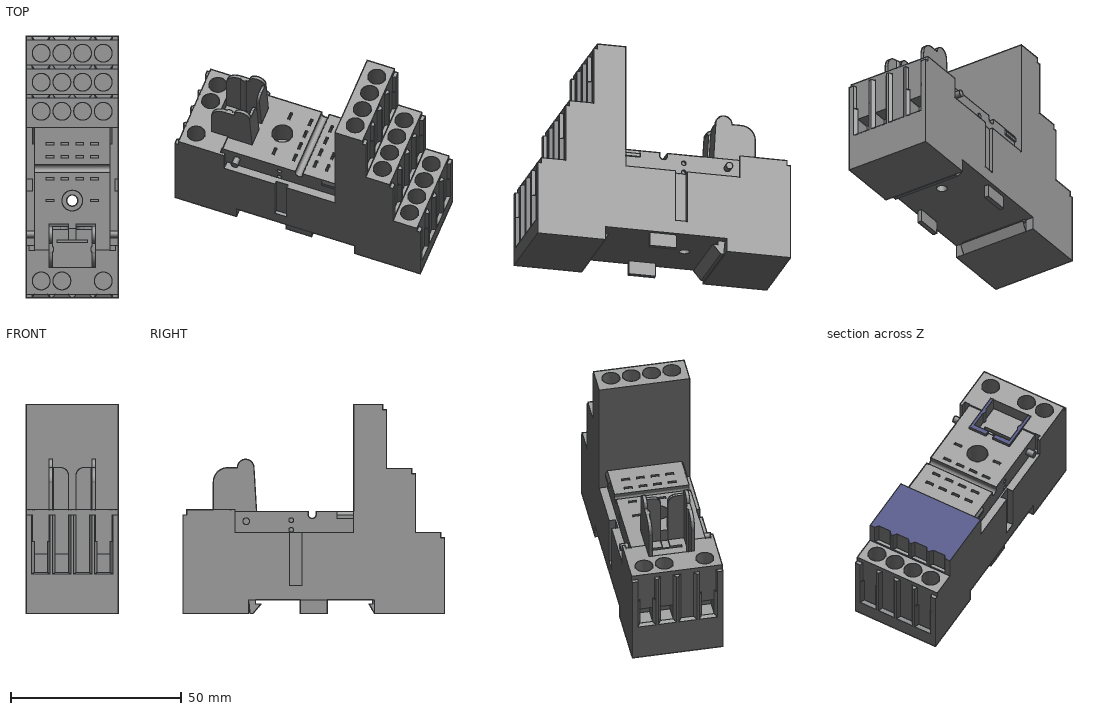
import cadquery as cq

WIDTH = 27.2
LENGTH = 77.0
HEIGHT = 61.5
SIDE = WIDTH / 2
FRONT = -LENGTH / 2
REAR = LENGTH / 2

POLES = 4

TIER_PITCH = 8.55
TIER_TOPS = [23.9, 42.7, HEIGHT]
TOWER_FRONT = 11.7
BLOCK_TOP = 30.6
BLOCK_REAR = -23.1
LIP_DEPTH = 1.1
LIP_HEIGHT = 1.55
TIER_REARS = [REAR - i * TIER_PITCH for i in range(len(TIER_TOPS))]

LEDGE_Z = TIER_TOPS[0]
BED_TOP = 30.1
BED_WIDTH = 22.3
BED_SIDE = BED_WIDTH / 2
BED_FRONT = -24.4
BED_GROOVE_Y = -0.5
BED_GROOVE_WIDTH = 2.3
BED_GROOVE_DEPTH = 2.1
WING_LENGTH = 4.9
WING_REACH = 0.55
WING_SLOPE_HEIGHT = 1.15
WING_HEIGHT = 2.1

BLADE_WIDTH = 2.3
BLADE_THICKNESS = 0.7
BLADE_DEPTH = 3.85
BLADE_PITCH = 4.4
BLADE_FULL_ROWS = [6.85, 3.0, -3.5]
COIL_ROW = -9.85

MOUNT_Y = COIL_ROW
MOUNT_DIAMETER = 3.2
MOUNT_HEAD_DIAMETER = 6.1
MOUNT_HEAD_DEPTH = 7.7

SLOT_FRONT = -7.1
SLOT_REAR = -3.5
SLOT_BOTTOM = 8.25
SLOT_DEPTH_LEFT = 1.85
SLOT_DEPTH_RIGHT = 1.1
PIN_Y = -19.9
PIN_Z = 27.2
PIN_DIAMETER = 2.0
DIMPLE_Y = -6.6
DIMPLE_HEIGHTS = [27.5, 24.65]
DIMPLE_DIAMETER = 1.4
DIMPLE_DEPTH = 0.8
NOTCH_WALL = 0.85
NOTCH_LENGTH = 1.5
NOTCH_FLOOR_DROP = 0.4

POLE_PITCH = 6.15
POLE_XS = [(i - (POLES - 1) / 2) * POLE_PITCH for i in range(POLES)]
SCREW_PITCH = 6.1
SCREW_XS = [(i - (POLES - 1) / 2) * SCREW_PITCH for i in range(POLES)]
SCREW_DIAMETER = 5.2
SCREW_DEPTH = 9.25
SCREW_INSET = 5.0
FRONT_POLES = [0, 1, 3]
GROOVE_MOUTH = 5.5
GROOVE_BACK = 3.85
GROOVE_BACK_UPPER = 4.85
GROOVE_HEIGHT = 17.4
GROOVE_FLOOR_RISE = 0.55
GROOVE_UPPER_HEIGHT = 7.85
ENTRY_HEIGHT = 5.4
ENTRY_DEPTH = 4.6

RAIL_FRONT = -19.2
RAIL_REAR = 17.9
RAIL_HEIGHT = 4.1
FOOT_LENGTH = 8.0
FOOT_WIDTH = 1.3
FOOT_INSET = 1.1
HOOK_INSET = 2.55
HOOK_WIDTH = WIDTH - 2 * HOOK_INSET
HOOK_TIP_Z = 2.85
REAR_HOOK_REACH = 1.6
REAR_HOOK_NECK = 0.55
FRONT_HOOK_REACH = 3.7
FRONT_HOOK_NECK = 2.1
FRONT_HOOK_BOTTOM_START = 0.4
FRONT_HOOK_BOTTOM_END = 1.3

CLIP_OUTER = 6.85
CLIP_THICKNESS = 1.0
CLIP_INNER = CLIP_OUTER - CLIP_THICKNESS
CLIP_FRONT = -29.6
CLIP_REAR = -16.8
CLIP_REAR_TOP = -17.55
CLIP_SHOULDER_Z = 43.0
CLIP_FRONT_RADIUS = 4.3
CLIP_TIP_Y = -20.0
CLIP_TIP_RADIUS = 2.5
FLANGE_FRONT = -18.4
FLANGE_GAP = 2.2
FLANGE_RADIUS = 2.3
RIB_Y = -24.2
RIB_WIDTH = 1.85
RIB_HEIGHT = 0.4
SEAT_DEPTH = 3.6
SEAT_FLOOR = BED_TOP - SEAT_DEPTH
SEAT_REAR = -18.1
CHANNEL_DEPTH = 0.4
CROSS_SLOT_REAR = -21.4
CROSS_SLOT_WIDTH = 9.1
CROSS_SLOT_THICKNESS = 0.85
CROSS_SLOT_DEPTH = 2.3


def box(x0, x1, y0, y1, z0, z1):
    """Axis-aligned block between two opposite corners."""
    return cq.Workplane("XY").box(x1 - x0, y1 - y0, z1 - z0, centered=False).translate((x0, y0, z0))


def across(x0, x1, outline):
    """Extrude a closed (y, z) outline from x0 to x1."""
    return cq.Workplane("YZ").polyline(outline).close().extrude(x1 - x0).translate((x0, 0, 0))


def bore(x, y, top, diameter, depth):
    """Vertical cylinder going down from the given height."""
    return cq.Workplane("XY", origin=(x, y, top - depth)).circle(diameter / 2).extrude(depth)


def mirrored(shape):
    """A feature together with its mirror image on the other side."""
    return shape.union(shape.mirror("YZ"))


def side_profile():
    """Stepped body outline, with a small lip along every terminal edge."""
    points = [(FRONT, 0), (REAR, 0)]
    for rear, top in zip(TIER_REARS, TIER_TOPS):
        points += [
            (rear, top - LIP_HEIGHT),
            (rear - LIP_DEPTH, top - LIP_HEIGHT),
            (rear - LIP_DEPTH, top),
            (rear - TIER_PITCH, top),
        ]
    points[-1] = (TOWER_FRONT, HEIGHT)
    points += [
        (TOWER_FRONT, LEDGE_Z),
        (BLOCK_REAR, LEDGE_Z),
        (BLOCK_REAR, BLOCK_TOP),
        (FRONT + LIP_DEPTH, BLOCK_TOP),
        (FRONT + LIP_DEPTH, BLOCK_TOP - LIP_HEIGHT),
        (FRONT, BLOCK_TOP - LIP_HEIGHT),
    ]
    return points


def relay_bed():
    """Raised bed with a rounded cross groove and a sloped wing at each rear corner."""
    bed = box(-BED_SIDE, BED_SIDE, BLOCK_REAR, TOWER_FRONT, LEDGE_Z, BED_TOP)
    radius = BED_GROOVE_WIDTH / 2
    groove_center = BED_TOP - BED_GROOVE_DEPTH + radius
    groove = box(-BED_SIDE, BED_SIDE, BED_GROOVE_Y - radius, BED_GROOVE_Y + radius, groove_center, BED_TOP)
    groove = groove.union(
        cq.Workplane("YZ", origin=(-BED_SIDE, BED_GROOVE_Y, groove_center)).circle(radius).extrude(BED_WIDTH)
    )
    wing_edge = BED_SIDE + WING_REACH
    wing = (
        cq.Workplane("XZ", origin=(0, TOWER_FRONT, 0))
        .moveTo(BED_SIDE, BED_TOP)
        .lineTo(wing_edge, BED_TOP - WING_SLOPE_HEIGHT)
        .lineTo(wing_edge, BED_TOP - WING_HEIGHT)
        .lineTo(BED_SIDE, BED_TOP - WING_HEIGHT)
        .close()
        .extrude(WING_LENGTH)
    )
    return bed.cut(groove).union(mirrored(wing))


def wire_groove(x, face_y, inward, floor, top, back_width, floor_rise=0.0):
    """Open-topped groove in an end face: it narrows inward and its floor may rise inward."""
    back_y = face_y + inward * LIP_DEPTH
    plan = [
        (x - GROOVE_MOUTH / 2, face_y),
        (x + GROOVE_MOUTH / 2, face_y),
        (x + back_width / 2, back_y),
        (x - back_width / 2, back_y),
    ]
    prism = cq.Workplane("XY", origin=(0, 0, floor)).polyline(plan).close().extrude(top - floor)
    if floor_rise:
        ramp = [(face_y, floor), (back_y, floor), (back_y, floor + floor_rise)]
        prism = prism.cut(across(-SIDE, SIDE, ramp))
    return prism


def end_grooves(body, face_y, inward, floor, top, floor_rise):
    """Row of four wire grooves in an end face; the outer pair widens near the top."""
    for x in POLE_XS:
        body = body.cut(wire_groove(x, face_y, inward, floor, top, GROOVE_BACK, floor_rise))
    for x in (POLE_XS[0], POLE_XS[-1]):
        body = body.cut(wire_groove(x, face_y, inward, top - GROOVE_UPPER_HEIGHT, top, GROOVE_BACK_UPPER))
    return body


def terminals(body):
    """Wire grooves, wire entries and screw holes."""
    front_top = BLOCK_TOP - LIP_HEIGHT
    front_floor = front_top - GROOVE_HEIGHT
    body = end_grooves(body, FRONT, 1, front_floor, front_top, GROOVE_FLOOR_RISE)

    rear_top = TIER_TOPS[0] - LIP_HEIGHT
    body = end_grooves(body, REAR, -1, rear_top - GROOVE_HEIGHT, rear_top, GROOVE_FLOOR_RISE)

    for rear, lower_top, top in zip(TIER_REARS[1:], TIER_TOPS, TIER_TOPS[1:]):
        body = end_grooves(body, rear, -1, lower_top + GROOVE_FLOOR_RISE, top - LIP_HEIGHT, 0)

    entry_floor = front_floor + GROOVE_FLOOR_RISE
    entry_top = entry_floor + ENTRY_HEIGHT
    entry_front = FRONT + LIP_DEPTH
    entry_rear = entry_front + ENTRY_DEPTH
    half = GROOVE_BACK / 2
    for pole in FRONT_POLES:
        x = POLE_XS[pole]
        body = body.cut(box(x - half, x + half, entry_front, entry_rear, entry_floor, entry_top))
        body = body.cut(bore(SCREW_XS[pole], FRONT + SCREW_INSET, BLOCK_TOP, SCREW_DIAMETER, SCREW_DEPTH))
    for rear, top in zip(TIER_REARS, TIER_TOPS):
        for x in SCREW_XS:
            body = body.cut(bore(x, rear - SCREW_INSET, top, SCREW_DIAMETER, SCREW_DEPTH))
    return body


def blade_slots(body):
    """Narrow contact slots: full rows of four, and an outer pair beside the mounting hole."""
    columns = [(i - (POLES - 1) / 2) * BLADE_PITCH for i in range(POLES)]
    places = [(x, y) for y in BLADE_FULL_ROWS for x in columns]
    places += [(columns[0], COIL_ROW), (columns[-1], COIL_ROW)]
    slots = (
        cq.Workplane("XY", origin=(0, 0, BED_TOP - BLADE_DEPTH))
        .pushPoints(places)
        .rect(BLADE_WIDTH, BLADE_THICKNESS)
        .extrude(BLADE_DEPTH)
    )
    return body.cut(slots)


def side_details(body):
    """Side slots, corner notches, dimples in the bed walls and pivot pins over the ledges."""
    body = body.cut(box(-SIDE, -SIDE + SLOT_DEPTH_LEFT, SLOT_FRONT, SLOT_REAR, SLOT_BOTTOM, LEDGE_Z))
    body = body.cut(box(SIDE - SLOT_DEPTH_RIGHT, SIDE, SLOT_FRONT, SLOT_REAR, SLOT_BOTTOM, LEDGE_Z))
    notch_floor = LEDGE_Z - NOTCH_FLOOR_DROP
    notch = box(BED_SIDE, SIDE - NOTCH_WALL, BLOCK_REAR - NOTCH_LENGTH, BLOCK_REAR, notch_floor, BLOCK_TOP)
    body = body.cut(mirrored(notch))
    for z in DIMPLE_HEIGHTS:
        dimple = (
            cq.Workplane("YZ", origin=(BED_SIDE - DIMPLE_DEPTH, DIMPLE_Y, z))
            .circle(DIMPLE_DIAMETER / 2)
            .extrude(DIMPLE_DEPTH)
        )
        body = body.cut(mirrored(dimple))
    pin = (
        cq.Workplane("YZ", origin=(BED_SIDE, PIN_Y, PIN_Z))
        .circle(PIN_DIAMETER / 2)
        .extrude(SIDE - BED_SIDE)
    )
    return body.union(mirrored(pin))


def rail_channel(body):
    """Underside channel with a hook at each end and a pair of side feet in the middle."""
    body = body.cut(box(-SIDE, SIDE, RAIL_FRONT, RAIL_REAR, 0, RAIL_HEIGHT))
    foot_side = SIDE - FOOT_INSET
    foot = box(foot_side - FOOT_WIDTH, foot_side, -FOOT_LENGTH / 2, FOOT_LENGTH / 2, 0, RAIL_HEIGHT)
    rear_hook = [
        (RAIL_REAR, 0),
        (RAIL_REAR - REAR_HOOK_REACH, HOOK_TIP_Z),
        (RAIL_REAR - REAR_HOOK_NECK, HOOK_TIP_Z),
        (RAIL_REAR - REAR_HOOK_NECK, RAIL_HEIGHT),
        (RAIL_REAR, RAIL_HEIGHT),
    ]
    front_hook = [
        (RAIL_FRONT, RAIL_HEIGHT),
        (RAIL_FRONT + FRONT_HOOK_NECK, RAIL_HEIGHT),
        (RAIL_FRONT + FRONT_HOOK_NECK, HOOK_TIP_Z),
        (RAIL_FRONT + FRONT_HOOK_REACH, HOOK_TIP_Z),
        (RAIL_FRONT + FRONT_HOOK_BOTTOM_END, 0),
        (RAIL_FRONT + FRONT_HOOK_BOTTOM_START, 0),
    ]
    body = body.union(mirrored(foot))
    for outline in (rear_hook, front_hook):
        body = body.union(across(-HOOK_WIDTH / 2, HOOK_WIDTH / 2, outline))
    return body


def clip_seat(body):
    """Sunken seat between the clip arms, with a shallow channel and a cross slot in its floor."""
    body = body.cut(box(-BED_SIDE, BED_SIDE, BED_FRONT, BLOCK_REAR, BED_TOP, BLOCK_TOP))
    body = body.cut(box(-CLIP_INNER, CLIP_INNER, CLIP_FRONT, SEAT_REAR, SEAT_FLOOR, BLOCK_TOP))
    half_gap = FLANGE_GAP / 2
    channel_floor = SEAT_FLOOR - CHANNEL_DEPTH
    body = body.cut(box(-half_gap, half_gap, CROSS_SLOT_REAR, SEAT_REAR, channel_floor, SEAT_FLOOR))
    half_slot = CROSS_SLOT_WIDTH / 2
    slot_front = CROSS_SLOT_REAR - CROSS_SLOT_THICKNESS
    slot_floor = SEAT_FLOOR - CROSS_SLOT_DEPTH
    return body.cut(box(-half_slot, half_slot, slot_front, CROSS_SLOT_REAR, slot_floor, SEAT_FLOOR))


def clip_outline(front):
    """(y, z) outline from the seat floor to the shoulder; above the bed its rear edge leans forward."""
    return [
        (front, SEAT_FLOOR),
        (CLIP_REAR, SEAT_FLOOR),
        (CLIP_REAR, BED_TOP),
        (CLIP_REAR_TOP, CLIP_SHOULDER_Z),
        (front, CLIP_SHOULDER_Z),
    ]


def clip_arm():
    """Right-hand clip arm: side plate with a round tip, rear flange and inner rib."""
    plate = across(CLIP_INNER, CLIP_OUTER, clip_outline(CLIP_FRONT))
    plate = plate.edges("|X and >Z and <Y").fillet(CLIP_FRONT_RADIUS)
    tip = (
        cq.Workplane("YZ", origin=(CLIP_INNER, CLIP_TIP_Y, CLIP_SHOULDER_Z))
        .circle(CLIP_TIP_RADIUS)
        .extrude(CLIP_THICKNESS)
    )
    flange = across(FLANGE_GAP / 2, CLIP_INNER, clip_outline(FLANGE_FRONT))
    flange = flange.edges("<X and >Z").fillet(FLANGE_RADIUS)
    rib = (
        cq.Workplane("XY", origin=(0, 0, SEAT_FLOOR))
        .moveTo(CLIP_INNER, RIB_Y - RIB_WIDTH / 2)
        .threePointArc((CLIP_INNER - RIB_HEIGHT, RIB_Y), (CLIP_INNER, RIB_Y + RIB_WIDTH / 2))
        .close()
        .extrude(CLIP_SHOULDER_Z - SEAT_FLOOR)
    )
    return plate.union(tip).union(flange).union(rib)


body = across(-SIDE, SIDE, side_profile()).union(relay_bed())
body = terminals(body)
body = rail_channel(body)
body = clip_seat(body)
body = blade_slots(body)
body = side_details(body)
body = body.cut(bore(0, MOUNT_Y, BED_TOP, MOUNT_HEAD_DIAMETER, MOUNT_HEAD_DEPTH))
body = body.cut(bore(0, MOUNT_Y, BED_TOP, MOUNT_DIAMETER, BED_TOP))
result = body.union(mirrored(clip_arm()))